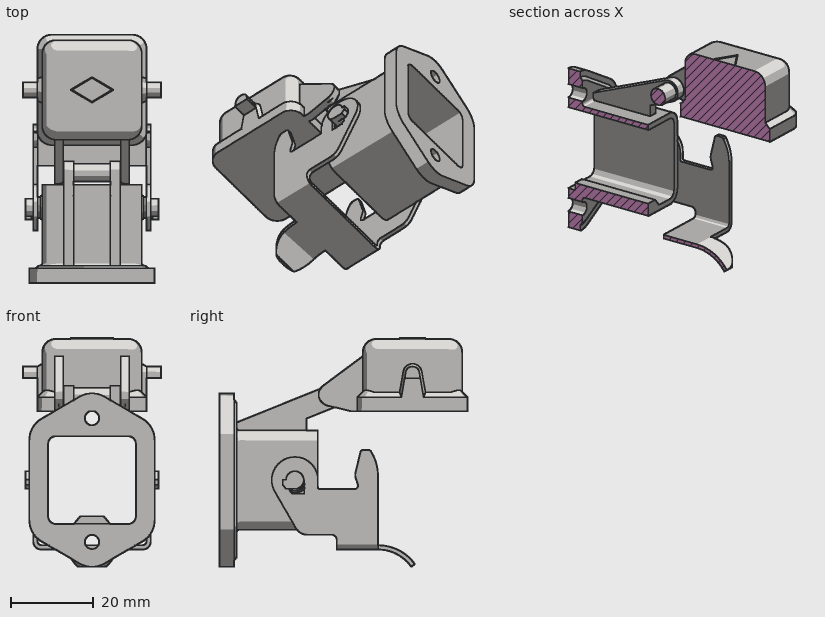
import cadquery as cq
import math


FLANGE_HALF_WIDTH = 15.2
FLANGE_HALF_HEIGHT = 21.0
FLANGE_THICKNESS = 3.6
FLANGE_CORNER_R = 6.0
FLANGE_SLOPE = math.radians(30)
SCREW_HOLE_D = 3.4
SCREW_HOLE_Z = FLANGE_HALF_HEIGHT - FLANGE_CORNER_R

STEP_INSET = 1.5
STEP_HEIGHT = 0.65
STEP_BEVEL = 52
STEP_Y = FLANGE_THICKNESS + STEP_HEIGHT
HOUSING_ROOT_R = 0.6

HOUSING_SIZE = 24.1
HOUSING_HALF = HOUSING_SIZE / 2
HOUSING_END_Y = 23.85
HOUSING_CORNER_R = 3.3
WALL = 1.45
BORE_SIZE = HOUSING_SIZE - 2 * WALL
BORE_CORNER_R = HOUSING_CORNER_R - WALL

KEY_START_Y = 2.0
KEY_HEIGHT = 1.9
KEY_BASE_HALF = 4.4
KEY_TOP_HALF = 2.8

HINGE_Y = 26.75
HINGE_Z = 20.1
HINGE_PIN_R = 2.2
ARM_R = 2.75
ARM_ANGLE = math.radians(22)
ARM_INNER_X = 4.42
ARM_OUTER_X = 6.85
ARM_BACK_Y = 21.15
LUG_INNER_X = 7.02
LUG_OUTER_X = 9.05
LUG_R = 2.7
LUG_Z = 20.7
LUG_Y = HINGE_Y
LUG_TOP_ANGLE = math.radians(36.6)
LUG_BOTTOM_ANGLE = math.radians(14)

LID_Y = 46.78
LID_TOP_Z = 34.2
LID_BOTTOM_Z = 16.6
LID_SIZE = HOUSING_SIZE
LID_EDGE_R = HOUSING_CORNER_R
RIM_HALF_X = 13.25
RIM_HALF_Y = 13.37
RIM_CORNER_R = 3.5
RIM_TOP_Z = 20.05
RIM_BEVEL = 1.7

PEG_R = 1.65
PEG_Z = 25.85
PEG_BOTTOM_Z = 24.65
PEG_END_X = 16.75
PEG_FLANK_ANGLE = math.radians(10)
WEB_BOTTOM_Z = 18.0
WEB_BEVEL = 28

DIAMOND_HALF_X = 5.2
DIAMOND_HALF_Y = 3.1
DIAMOND_RAISE = 0.2
DIAMOND_SCALE_INSIDE = 0.93

LATCH_HALF_X = 14.25
LATCH_SHEET = 1.1
LATCH_BEND_R = 2.0
LATCH_BOTTOM_Z = -16.84
LATCH_FAR_Y = 38.45
LATCH_PIVOT_Y = 18.3
LATCH_DISC_R = 5.6
LATCH_TOP_Z = 7.3
LATCH_FLANK_ANGLE = math.radians(30)
HEEL_Z = -13.25
HEEL_R = 3.0
FOOT_Y = 28.4
FOOT_R = 1.2
THROAT_Z = -2.15
THROAT_R = 0.4

HOOK_BACK_Z = 0.5
HOOK_BACK_MID = (38.1, 3.8)
HOOK_BACK_END = (36.75, 6.95)
HOOK_TOP_FAR_Y = 36.35
HOOK_TOP_NEAR_Y = 34.75
HOOK_NOSE_MID = (34.35, 7.1)
HOOK_NOSE_END = (34.15, 6.75)
HOOK_BARB_START = (33.05, 2.2)
HOOK_BARB_TIP = (32.9, 1.1)
HOOK_BARB_END = (33.1, 0.2)
HOOK_NECK_START = (33.45, -0.9)
HOOK_NECK_MID = (33.45, -1.75)
HOOK_NECK_END_Y = 32.85

LEVER_R = 10.9
LEVER_SWEEP = math.radians(54.8)
LEVER_HALF_WIDTH = 5.6
LEVER_CORNER_R = 5.0

STUD_R = 2.15
STUD_END_X = 16.1
BOSS_R = 2.6
BOSS_BEVEL = 0.5
BOSS_BEVEL_ANGLE = 45
STUD_KEY_REACH = 2.95
STUD_KEY_INNER_X = 14.6
KEY_LIP = 0.1
KEY_SIDE = 1.1

SLOT_FAR_Y = 2.3
SLOT_NEAR_Y = -1.35
SLOT_FOOT_Y = -0.65
SLOT_REACH = 3.3
SLOT_SIDE = 2.4


def both_sides(shape):
    """The shape together with its mirror image across X = 0."""
    return shape.union(shape.mirror("YZ"))


def along_y(start_y):
    """Sketch plane facing +Y; its local x axis is -X and its local y axis is Z."""
    return cq.Workplane(cq.Plane((0, start_y, 0), (-1, 0, 0), (0, 1, 0)))


def along_x(start_x):
    """Sketch plane facing +X; its local axes are Y and Z."""
    return cq.Workplane("YZ", origin=(start_x, 0, 0))


def flange_prism(start_y, height, inset, bevel=0):
    """Six-sided prism with rounded corners, its outline moved inwards by inset."""
    half_width = FLANGE_HALF_WIDTH - inset
    corner_r = FLANGE_CORNER_R - inset
    apex_z = SCREW_HOLE_Z + corner_r / math.cos(FLANGE_SLOPE)
    shoulder_z = apex_z - half_width * math.tan(FLANGE_SLOPE)
    corners = [
        (0, apex_z),
        (half_width, shoulder_z),
        (half_width, -shoulder_z),
        (0, -apex_z),
        (-half_width, -shoulder_z),
        (-half_width, shoulder_z),
    ]
    sketch = cq.Sketch().polygon(corners + corners[:1]).vertices().fillet(corner_r)
    return along_y(start_y).placeSketch(sketch).extrude(height, taper=bevel)


def square_bar(start_y, end_y, size, corner_r):
    """Square prism along Y with rounded corners."""
    length = end_y - start_y
    return along_y(start_y).rect(size, size).extrude(length).edges("|Y").fillet(corner_r)


def make_housing():
    """Flange, bevelled step and open tube with its floor key."""
    housing = flange_prism(0, FLANGE_THICKNESS, 0)
    housing = housing.union(flange_prism(FLANGE_THICKNESS, STEP_HEIGHT, STEP_INSET, STEP_BEVEL))
    housing = housing.union(square_bar(0, HOUSING_END_Y, HOUSING_SIZE, HOUSING_CORNER_R))

    margin = HOUSING_ROOT_R / 4
    reach = HOUSING_HALF + margin
    root = cq.selectors.BoxSelector(
        (-reach, STEP_Y - margin, -reach), (reach, STEP_Y + margin, reach), boundingbox=True
    )
    housing = housing.edges(root).fillet(HOUSING_ROOT_R)

    housing = housing.cut(square_bar(0, HOUSING_END_Y, BORE_SIZE, BORE_CORNER_R))
    screw_holes = (
        along_y(0)
        .pushPoints([(0, SCREW_HOLE_Z), (0, -SCREW_HOLE_Z)])
        .circle(SCREW_HOLE_D / 2)
        .extrude(STEP_Y)
    )
    return housing.cut(screw_holes).union(make_key())


def make_key():
    """Trapezoidal key running along the bore floor to the open end."""
    floor_z = -BORE_SIZE / 2
    embedded_z = floor_z - WALL / 2
    return (
        along_y(KEY_START_Y)
        .moveTo(-KEY_BASE_HALF, embedded_z)
        .lineTo(-KEY_BASE_HALF, floor_z)
        .lineTo(-KEY_TOP_HALF, floor_z + KEY_HEIGHT)
        .lineTo(KEY_TOP_HALF, floor_z + KEY_HEIGHT)
        .lineTo(KEY_BASE_HALF, floor_z)
        .lineTo(KEY_BASE_HALF, embedded_z)
        .close()
        .extrude(HOUSING_END_Y - KEY_START_Y)
    )


def make_arm():
    """Inclined hinge arm standing on the housing, rounded around the hinge pin."""
    sine = math.sin(ARM_ANGLE)
    cosine = math.cos(ARM_ANGLE)
    top = (HINGE_Y - ARM_R * sine, HINGE_Z + ARM_R * cosine)
    tip = (HINGE_Y + ARM_R * cosine, HINGE_Z + ARM_R * sine)
    bottom = (HINGE_Y + ARM_R * sine, HINGE_Z - ARM_R * cosine)
    root_z = top[1] - (top[0] - FLANGE_THICKNESS) * math.tan(ARM_ANGLE)
    back_z = bottom[1] - (bottom[0] - ARM_BACK_Y) * math.tan(ARM_ANGLE)
    embedded_z = HOUSING_HALF - WALL / 2
    return (
        along_x(ARM_INNER_X)
        .moveTo(FLANGE_THICKNESS, embedded_z)
        .lineTo(FLANGE_THICKNESS, root_z)
        .lineTo(*top)
        .threePointArc(tip, bottom)
        .lineTo(ARM_BACK_Y, back_z)
        .lineTo(ARM_BACK_Y, embedded_z)
        .close()
        .extrude(ARM_OUTER_X - ARM_INNER_X)
    )


def make_hinge_pin():
    """Pin through both arms, ending inside the lid lugs."""
    half_length = (LUG_INNER_X + LUG_OUTER_X) / 2
    return along_x(-half_length).center(HINGE_Y, HINGE_Z).circle(HINGE_PIN_R).extrude(2 * half_length)


def make_lug():
    """Tapered lid lug with a rounded end beside the hinge arm."""
    top = (LUG_Y - LUG_R * math.sin(LUG_TOP_ANGLE), LUG_Z + LUG_R * math.cos(LUG_TOP_ANGLE))
    bottom = (LUG_Y - LUG_R * math.sin(LUG_BOTTOM_ANGLE), LUG_Z - LUG_R * math.cos(LUG_BOTTOM_ANGLE))
    embedded_y = LID_Y - LID_SIZE / 2 + LID_EDGE_R
    top_z = top[1] + (embedded_y - top[0]) * math.tan(LUG_TOP_ANGLE)
    foot_y = bottom[0] + (bottom[1] - LID_BOTTOM_Z) / math.tan(LUG_BOTTOM_ANGLE)
    return (
        along_x(LUG_INNER_X)
        .moveTo(foot_y, LID_BOTTOM_Z)
        .lineTo(*bottom)
        .threePointArc((LUG_Y - LUG_R, LUG_Z), top)
        .lineTo(embedded_y, top_z)
        .lineTo(embedded_y, LID_BOTTOM_Z)
        .close()
        .extrude(LUG_OUTER_X - LUG_INNER_X)
    )


def make_lid():
    """Rounded cap with a bevelled rim around its foot."""
    base = cq.Workplane("XY", origin=(0, LID_Y, LID_BOTTOM_Z))
    cap = base.rect(LID_SIZE, LID_SIZE).extrude(LID_TOP_Z - LID_BOTTOM_Z)
    cap = cap.edges("|Z").fillet(LID_EDGE_R).faces(">Z").edges().fillet(LID_EDGE_R)
    rim = base.rect(2 * RIM_HALF_X, 2 * RIM_HALF_Y).extrude(RIM_TOP_Z + RIM_BEVEL - LID_BOTTOM_Z)
    rim = rim.edges("|Z").fillet(RIM_CORNER_R).faces(">Z").chamfer(RIM_BEVEL)
    return cap.union(rim)


def arch(start_x, bottom_z):
    """Round-topped outline whose flanks spread downwards, centred on the lid."""
    flank_y = PEG_R * math.cos(PEG_FLANK_ANGLE)
    flank_z = PEG_Z + PEG_R * math.sin(PEG_FLANK_ANGLE)
    foot_y = flank_y + (flank_z - bottom_z) * math.tan(PEG_FLANK_ANGLE)
    return (
        along_x(start_x)
        .moveTo(LID_Y - foot_y, bottom_z)
        .lineTo(LID_Y + foot_y, bottom_z)
        .lineTo(LID_Y + flank_y, flank_z)
        .threePointArc((LID_Y, PEG_Z + PEG_R), (LID_Y - flank_y, flank_z))
        .close()
    )


def make_peg():
    """Lid peg on +X with the bevelled web that joins it to the lid wall."""
    wall_x = LID_SIZE / 2
    web = arch(RIM_HALF_X, WEB_BOTTOM_Z).extrude(wall_x - RIM_HALF_X, taper=-WEB_BEVEL)
    peg = arch(wall_x, PEG_BOTTOM_Z).extrude(PEG_END_X - wall_x)
    return web.union(peg)


def make_diamond():
    """Thin raised diamond frame on the lid."""
    top = cq.Workplane("XY", origin=(0, LID_Y, LID_TOP_Z))

    def diamond(scale):
        half_x = DIAMOND_HALF_X * scale
        half_y = DIAMOND_HALF_Y * scale
        corners = [(half_x, 0), (0, half_y), (-half_x, 0), (0, -half_y)]
        return top.polyline(corners).close().extrude(DIAMOND_RAISE)

    return diamond(1).cut(diamond(DIAMOND_SCALE_INSIDE))


def latch_side_prism():
    """Side outline of the latch, extruded across its whole width."""
    throat_y = LATCH_PIVOT_Y + LATCH_DISC_R
    disc_side = (
        LATCH_PIVOT_Y - LATCH_DISC_R * math.cos(LATCH_FLANK_ANGLE),
        -LATCH_DISC_R * math.sin(LATCH_FLANK_ANGLE),
    )
    heel_y = disc_side[0] + (disc_side[1] - HEEL_Z) * math.tan(LATCH_FLANK_ANGLE)
    heel_tangent = HEEL_R * math.tan((math.pi / 2 - LATCH_FLANK_ANGLE) / 2)
    heel_start = (
        heel_y - heel_tangent * math.sin(LATCH_FLANK_ANGLE),
        HEEL_Z + heel_tangent * math.cos(LATCH_FLANK_ANGLE),
    )
    return (
        along_x(-LATCH_HALF_X)
        .moveTo(LATCH_FAR_Y, LATCH_BOTTOM_Z)
        .lineTo(LATCH_FAR_Y, HOOK_BACK_Z)
        .threePointArc(HOOK_BACK_MID, HOOK_BACK_END)
        .lineTo(HOOK_TOP_FAR_Y, LATCH_TOP_Z)
        .lineTo(HOOK_TOP_NEAR_Y, LATCH_TOP_Z)
        .threePointArc(HOOK_NOSE_MID, HOOK_NOSE_END)
        .lineTo(*HOOK_BARB_START)
        .threePointArc(HOOK_BARB_TIP, HOOK_BARB_END)
        .lineTo(*HOOK_NECK_START)
        .threePointArc(HOOK_NECK_MID, (HOOK_NECK_END_Y, THROAT_Z))
        .lineTo(throat_y + THROAT_R, THROAT_Z)
        .radiusArc((throat_y, THROAT_Z + THROAT_R), THROAT_R)
        .lineTo(throat_y, 0)
        .threePointArc((LATCH_PIVOT_Y, LATCH_DISC_R), (LATCH_PIVOT_Y - LATCH_DISC_R, 0))
        .radiusArc(disc_side, -LATCH_DISC_R)
        .lineTo(*heel_start)
        .radiusArc((heel_y + heel_tangent, HEEL_Z), -HEEL_R)
        .lineTo(FOOT_Y - FOOT_R, HEEL_Z)
        .radiusArc((FOOT_Y, HEEL_Z - FOOT_R), FOOT_R)
        .lineTo(FOOT_Y, LATCH_BOTTOM_Z)
        .close()
        .extrude(2 * LATCH_HALF_X)
    )


def latch_channel():
    """U-shaped sheet channel with rounded bends, open at the top."""
    start_y = LATCH_PIVOT_Y - LATCH_DISC_R
    length = LATCH_FAR_Y - start_y

    def block(inset, bend_r):
        bottom_z = LATCH_BOTTOM_Z + inset
        height = LATCH_TOP_Z - bottom_z
        solid = along_y(start_y).center(0, bottom_z + height / 2)
        solid = solid.rect(2 * (LATCH_HALF_X - inset), height).extrude(length)
        return solid.edges("|Y and <Z").fillet(bend_r)

    return block(0, LATCH_BEND_R).cut(block(LATCH_SHEET, LATCH_BEND_R - LATCH_SHEET))


def make_lever():
    """Curved finger lever leaving the latch cross-piece, with rounded end corners."""
    top_z = LATCH_BOTTOM_Z + LATCH_SHEET
    centre_z = top_z - LEVER_R
    inner_r = LEVER_R - LATCH_SHEET

    def on_arc(radius, angle):
        return (LATCH_FAR_Y + radius * math.sin(angle), centre_z + radius * math.cos(angle))

    strip = (
        along_x(-LEVER_HALF_WIDTH)
        .moveTo(*on_arc(LEVER_R, 0))
        .threePointArc(on_arc(LEVER_R, LEVER_SWEEP / 2), on_arc(LEVER_R, LEVER_SWEEP))
        .lineTo(*on_arc(inner_r, LEVER_SWEEP))
        .threePointArc(on_arc(inner_r, LEVER_SWEEP / 2), on_arc(inner_r, 0))
        .close()
        .extrude(2 * LEVER_HALF_WIDTH)
    )
    length = LEVER_R * math.sin(LEVER_SWEEP)
    plan = (
        cq.Workplane("XY", origin=(0, LATCH_FAR_Y + length / 2, centre_z))
        .rect(2 * LEVER_HALF_WIDTH, length)
        .extrude(LEVER_R)
        .edges("|Z and >Y")
        .fillet(LEVER_CORNER_R)
    )
    return strip.intersect(plan)


def make_stud():
    """Pivot stud on +X: bevelled boss, round pin and a key on its outer end reaching towards -Y."""
    pivot = along_x(HOUSING_HALF).center(LATCH_PIVOT_Y, 0)
    boss_height = LATCH_HALF_X - LATCH_SHEET - HOUSING_HALF
    boss = pivot.circle(BOSS_R).extrude(boss_height)
    root = pivot.circle(BOSS_R + BOSS_BEVEL).extrude(BOSS_BEVEL, taper=BOSS_BEVEL_ANGLE)
    pin = pivot.circle(STUD_R).extrude(STUD_END_X - HOUSING_HALF)

    key_corners = [
        (0, KEY_LIP),
        (-STUD_KEY_REACH, KEY_LIP),
        (-STUD_KEY_REACH, -KEY_SIDE),
        (-STUD_R, -STUD_R),
        (0, -STUD_R),
    ]
    key = along_x(STUD_KEY_INNER_X).center(LATCH_PIVOT_Y, 0).polyline(key_corners).close()
    return boss.union(root).union(pin).union(key.extrude(STUD_END_X - STUD_KEY_INNER_X))


def make_slots():
    """Key openings in both latch sides, reaching downwards from the pivot."""
    corners = [
        (SLOT_FAR_Y, 0),
        (SLOT_FAR_Y, -SLOT_REACH),
        (SLOT_FOOT_Y, -SLOT_REACH),
        (SLOT_NEAR_Y, -SLOT_SIDE),
        (SLOT_NEAR_Y, 0),
    ]
    slot = along_x(-LATCH_HALF_X).center(LATCH_PIVOT_Y, 0).polyline(corners).close()
    return slot.extrude(2 * LATCH_HALF_X)


def make_latch():
    """Slotted sheet bracket with its finger lever."""
    plates = latch_channel().intersect(latch_side_prism()).cut(make_slots())
    return plates.union(make_lever())


result = (
    make_housing()
    .union(both_sides(make_arm()))
    .union(make_hinge_pin())
    .union(make_lid())
    .union(both_sides(make_lug()))
    .union(both_sides(make_peg()))
    .union(make_diamond())
    .union(make_latch())
    .union(both_sides(make_stud()))
)